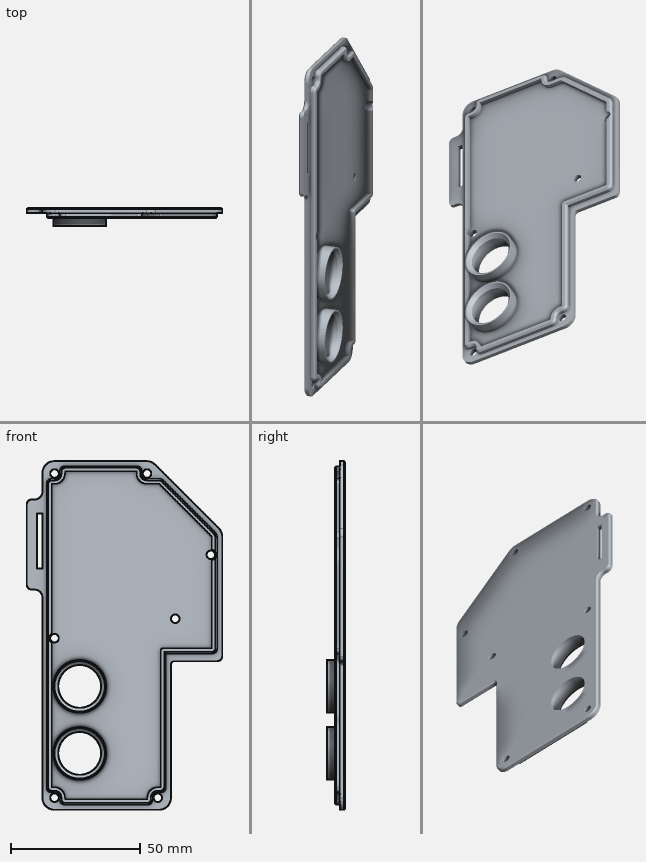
import cadquery as cq

plate_thickness = 2.0
lip_front = 4.0
ring_front = 7.0
back_chamfer = 0.5

body_left = 6.1
body_right = 75.7
body_top = 135.0
step_x = 55.9
shoulder_z = 57.5
diagonal_leg = 27.4
corner_radius = 4.7
shoulder_radius = 2.0
step_radius = 1.4

tab_bottom = 85.2
tab_top = 120.2
tab_corner_radius = 2.0
tab_root_radius = 3.0
slot_left = 4.0
slot_bottom = 93.4
slot_top = 114.6

side_gap = 2.0
left_gap = 1.6
diagonal_gap = 2.2
shoulder_gap = 3.0
lip_width = 2.0
lip_chamfer = 0.7
lip_corner_radius = 2.0
lip_diagonal_radius = 3.5
pocket_step_radius = 1.0
notch_radius = 2.0

screw_diameter = 3.2
left_screw_x = 10.8
top_screw_z = 130.1
bottom_screw_z = 4.7
top_right_screw_x = 46.6
bottom_right_screw_x = 50.8
corner_screws = [
    (left_screw_x, top_screw_z),
    (top_right_screw_x, top_screw_z),
    (left_screw_x, bottom_screw_z),
    (bottom_right_screw_x, bottom_screw_z),
]
inner_screws = [(left_screw_x, 66.4), (57.5, 74.0), (71.3, 98.7)]

ring_x = 20.5
ring_heights = [21.9, 47.8]
ring_diameter = 20.5
bore_diameter = 16.5
bore_chamfer = 1.5

diagonal_sum = body_right + body_top - diagonal_leg
diagonal_run = 2 ** 0.5


def sketch_at(depth):
    """Workplane at the given depth, X to the right, Z up, extruding towards -Y."""
    return cq.Workplane("XZ", origin=(0, -depth, 0))


def cylinders(points, diameter, start, end):
    """Cylinders along Y on the given (x, z) centers, between two depths."""
    return sketch_at(start).pushPoints(points).circle(diameter / 2).extrude(end - start)


def fillet_corner(solid, x, z, radius):
    """Round the depth-wise edge that passes through (x, z)."""
    tiny = 0.01
    corner = cq.selectors.BoxSelector(
        (x - tiny, -ring_front, z - tiny), (x + tiny, ring_front, z + tiny)
    )
    return solid.edges("|Y").edges(corner).fillet(radius)


def rounded_prism(corners, start, end):
    """Extruded polygon of (x, z, rounding radius) corners; radius zero keeps a corner sharp."""
    points = [(x, z) for x, z, _ in corners]
    prism = sketch_at(start).polyline(points).close().extrude(end - start)
    for x, z, radius in corners:
        if radius > 0:
            prism = fillet_corner(prism, x, z, radius)
    return prism


def make_plate():
    corners = [
        (body_left, 0, corner_radius),
        (step_x, 0, corner_radius),
        (step_x, shoulder_z, step_radius),
        (body_right, shoulder_z, shoulder_radius),
        (body_right, body_top - diagonal_leg, corner_radius),
        (body_right - diagonal_leg, body_top, corner_radius),
        (body_left, body_top, corner_radius),
        (body_left, tab_top, tab_root_radius),
        (0, tab_top, tab_corner_radius),
        (0, tab_bottom, tab_corner_radius),
        (body_left, tab_bottom, tab_root_radius),
    ]
    plate = rounded_prism(corners, 0, plate_thickness)
    return plate.faces(">Y").chamfer(back_chamfer)


def lip_prism(inset, inner_step_radius, start, end):
    """Prism within the lip outline moved inwards by inset."""
    left = body_left + left_gap + inset
    right = body_right - side_gap - inset
    bottom = side_gap + inset
    top = body_top - side_gap - inset
    step = step_x - side_gap - inset
    shoulder = shoulder_z + shoulder_gap + inset
    edge_sum = diagonal_sum - diagonal_run * (diagonal_gap + inset)

    reach = notch_radius + inset
    low_x = left_screw_x + reach
    low_z = bottom_screw_z + reach
    high_z = top_screw_z - reach
    end_x = bottom_right_screw_x - reach
    break_x = top_right_screw_x - reach

    outer_radius = lip_corner_radius - inset
    diagonal_radius = lip_diagonal_radius - inset
    corners = [
        (left, low_z, outer_radius),
        (low_x, low_z, reach),
        (low_x, bottom, outer_radius),
        (end_x, bottom, outer_radius),
        (end_x, low_z, reach),
        (step, low_z, outer_radius),
        (step, shoulder, inner_step_radius),
        (right, shoulder, outer_radius),
        (right, edge_sum - right, diagonal_radius),
        (edge_sum - high_z, high_z, outer_radius),
        (break_x, high_z, reach),
        (break_x, top, outer_radius),
        (low_x, top, outer_radius),
        (low_x, high_z, reach),
        (left, high_z, outer_radius),
    ]
    return rounded_prism(corners, start, end)


def make_lip():
    lip = lip_prism(0, 0, plate_thickness, lip_front)
    lip = lip.faces("<Y").chamfer(lip_chamfer)
    return lip.cut(cylinders(inner_screws, 2 * notch_radius, plate_thickness, lip_front))


def make_pocket():
    return lip_prism(lip_width, pocket_step_radius, plate_thickness, lip_front)


plate = make_plate()
slot_corners = [
    (slot_left, slot_bottom, 0),
    (body_left, slot_bottom, 0),
    (body_left, slot_top, 0),
    (slot_left, slot_top, 0),
]
slot = rounded_prism(slot_corners, 0, plate_thickness)

ring_centers = [(ring_x, z) for z in ring_heights]
rings = cylinders(ring_centers, ring_diameter, plate_thickness, ring_front)
bores = cylinders(ring_centers, bore_diameter, 0, ring_front)
screw_holes = cylinders(corner_screws + inner_screws, screw_diameter, 0, lip_front)

body = plate.cut(slot).union(make_lip()).cut(make_pocket())
body = body.union(rings).cut(bores).cut(screw_holes)
bore_rims = body.faces("<Y").edges(cq.selectors.RadiusNthSelector(0))
result = bore_rims.chamfer(bore_chamfer)